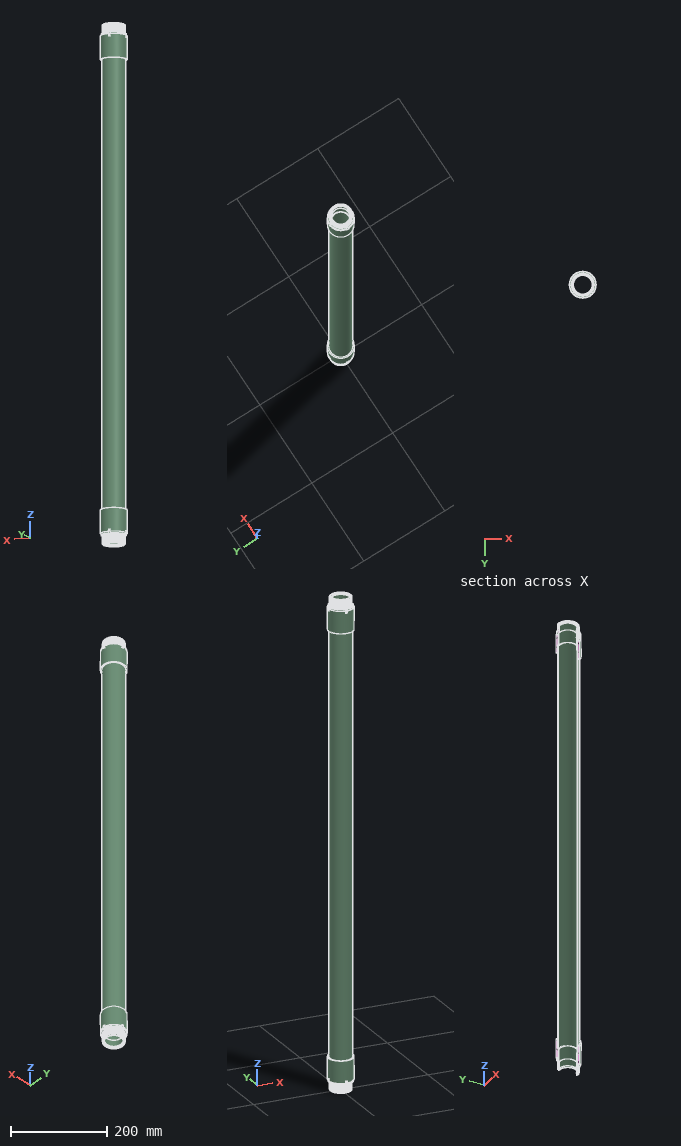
import cadquery as cq

total_length = 1103.6
mid_height = total_length / 2
thread_length = 21.0
sleeve_end = 74.5
socket_depth = 21.0
tube_end = sleeve_end - socket_depth

sleeve_diameter = 56.2
collar_diameter = 54.0
tube_diameter = 50.2
tube_bore = 42.6
nipple_diameter = 47.9
thread_root = 44.84
thread_tip = 43.3
nipple_mouth = 40.5
nipple_throat = 38.7
nipple_bore = 40.0

mouth_depth = 5.0
throat_end = 22.0

collar_height = 3.3
slot_width = 4.0
slot_depth = 8.0
slot_count = 4

thread_pitch = 2.309
groove_count = 8
lead_in = 1.6
crest_width = 0.5
root_width = 0.5
flank_width = (thread_pitch - crest_width - root_width) / 2


def ring(outer, inner, bottom, top):
    """Plain tube around Z between two heights."""
    return (
        cq.Workplane("XY", origin=(0, 0, bottom))
        .circle(outer / 2)
        .circle(inner / 2)
        .extrude(top - bottom)
    )


def make_tube():
    return ring(tube_diameter, tube_bore, tube_end, total_length - tube_end)


def make_nipple():
    """Threaded nipple at the bottom end, reaching up to the tube's end face."""
    bore = nipple_bore / 2
    throat = nipple_throat / 2
    mouth = nipple_mouth / 2
    crest = nipple_diameter / 2
    root = thread_root / 2
    outline = [(throat, mouth_depth), (mouth, mouth_depth), (mouth, 0)]
    outline += [(thread_tip / 2, 0), (crest, lead_in)]
    for i in range(groove_count):
        start = lead_in + crest_width + i * thread_pitch
        end = start + 2 * flank_width + root_width
        outline += [(crest, start), (root, start + flank_width)]
        outline += [(root, end - flank_width), (crest, end)]
    outline += [(crest, tube_end), (bore, tube_end), (bore, throat_end), (throat, throat_end)]
    return cq.Workplane("XZ").polyline(outline).close().revolve(360, (0, 0, 0), (0, 1, 0))


def make_sleeve():
    """Sleeve at the bottom end: collar, body, socket for the tube and slots in the rim."""
    shoulder = thread_length + collar_height
    sleeve = ring(collar_diameter, nipple_diameter, thread_length, shoulder)
    sleeve = sleeve.union(ring(sleeve_diameter, nipple_diameter, shoulder, sleeve_end))
    sleeve = sleeve.cut(ring(tube_diameter, nipple_throat, tube_end, sleeve_end))
    for i in range(slot_count):
        slot = (
            cq.Workplane("XY", origin=(0, 0, thread_length))
            .center(sleeve_diameter / 2, 0)
            .rect(sleeve_diameter, slot_width)
            .extrude(slot_depth)
            .rotate((0, 0, 0), (0, 0, 1), i * 360 / slot_count)
        )
        sleeve = sleeve.cut(slot)
    return sleeve.solids()


def at_top(body):
    """The same body at the other end of the part."""
    return body.mirror("XY", (0, 0, mid_height))


tube = make_tube()
bodies = [tube.val()]
for end_body in (make_nipple(), make_sleeve()):
    bodies += [end_body.val(), at_top(end_body).val()]

result = cq.Compound.makeCompound(bodies)